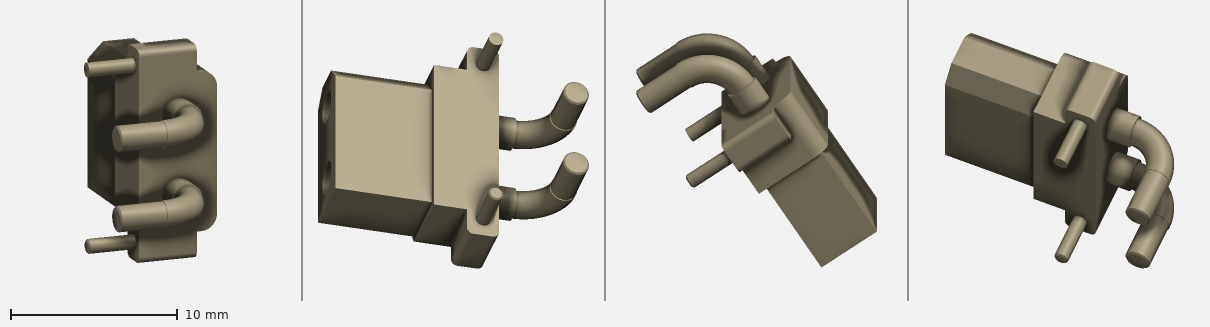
import cadquery as cq
import math


plug_length = 6.0
plug_width = 4.0
plug_height = 9.0
plug_chamfer = 1.0

flange_length = 4.05
flange_width = 5.0
flange_height = 9.95
flange_corner_radius = 1.0
flange_back = plug_length + flange_length
axis_y = flange_width / 2

ear_length = 2.0
ear_width = 3.7
ear_span = 13.3
ear_corner_radius = 0.4
ear_x = flange_back - ear_length / 2

contact_pitch = 5.0
socket_diameter = 2.0
socket_depth = 5.0
socket_point_angle = 118.0
collar_diameter = 2.0
collar_length = 1.5
bend_diameter = 1.7
bend_radius = 2.5
bend_angle = 90.0
tail_diameter = 1.6
leg_length = 3.0
leg_chamfer = 0.1

peg_diameter = 0.9
peg_pitch = 11.0

collar_end = flange_back + collar_length
tail_x = collar_end + bend_radius
bend_end_y = axis_y - bend_radius


def box(x_start, y_start, length, width, height):
    """Block centred on Z = 0."""
    return cq.Workplane("XY").box(length, width, height, centered=(False, False, True)).translate(
        (x_start, y_start, 0)
    )


def leg(x, y_start, z, diameter):
    """Round leg running from y_start in the -Y direction."""
    plane = cq.Plane(origin=(x, y_start, z), xDir=(1, 0, 0), normal=(0, -1, 0))
    return cq.Workplane(plane).circle(diameter / 2).extrude(leg_length)


def chamfered_leg(x, y_start, z, diameter):
    """Round leg with a chamfered tip."""
    return leg(x, y_start, z, diameter).faces("<Y").chamfer(leg_chamfer)


def make_plug():
    """Block with its two upper long edges chamfered."""
    plug = box(0, axis_y - plug_width / 2, plug_length, plug_width, plug_height)
    return plug.faces(">Z").edges("|X").chamfer(plug_chamfer)


def make_flange():
    """Plate with the two corners away from the mounting face rounded."""
    flange = box(plug_length, 0, flange_length, flange_width, flange_height)
    return flange.faces(">Y").edges("|X").fillet(flange_corner_radius)


def make_ears():
    """One bar whose ends stand out above and below the flange."""
    ears = box(flange_back - ear_length, 0, ear_length, ear_width, ear_span)
    return ears.edges("|Y").fillet(ear_corner_radius)


def make_socket(z):
    """Blind bore with a conical bottom, entering from the mating face."""
    radius = socket_diameter / 2
    tip_depth = socket_depth + radius / math.tan(math.radians(socket_point_angle / 2))
    profile = (
        cq.Workplane("XY")
        .polyline([(0, 0), (0, radius), (socket_depth, radius), (tip_depth, 0)])
        .close()
    )
    return profile.revolve(axisStart=(0, 0, 0), axisEnd=(1, 0, 0)).translate((0, axis_y, z))


def make_contact(z):
    """Collar, quarter bend and straight tail of one contact."""
    collar = (
        cq.Workplane("YZ", origin=(flange_back, axis_y, z))
        .circle(collar_diameter / 2)
        .extrude(collar_length)
    )
    bend = (
        cq.Workplane("YZ", origin=(collar_end, axis_y, z))
        .circle(bend_diameter / 2)
        .revolve(bend_angle, (-bend_radius, 0, 0), (-bend_radius, -1, 0))
    )
    tail = chamfered_leg(tail_x, bend_end_y, z, tail_diameter)
    return collar.union(bend).union(tail)


upper_peg = leg(ear_x, 0, peg_pitch / 2, peg_diameter)
lower_peg = chamfered_leg(ear_x, 0, -peg_pitch / 2, peg_diameter)

result = make_plug().union(make_flange()).union(make_ears()).union(upper_peg).union(lower_peg)
for contact_z in (-contact_pitch / 2, contact_pitch / 2):
    result = result.union(make_contact(contact_z)).cut(make_socket(contact_z))